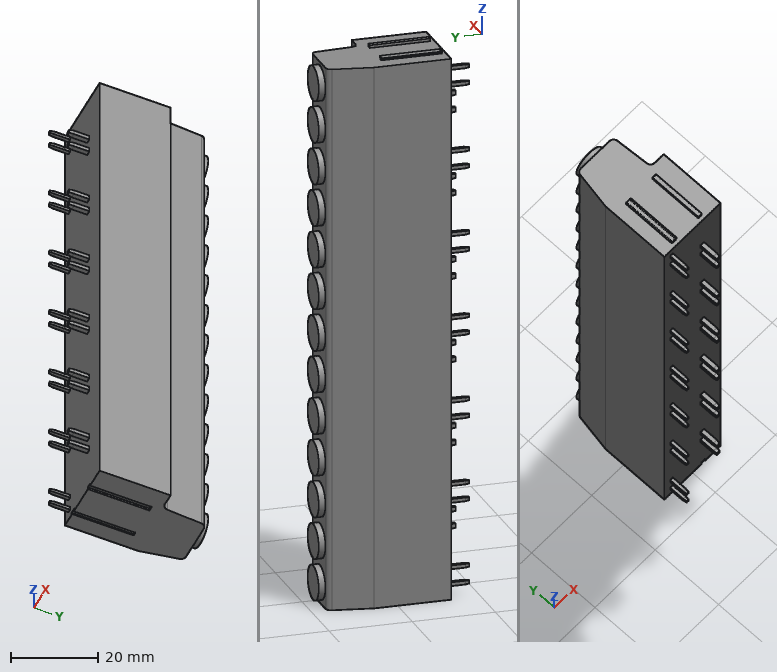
import cadquery as cq


total_length = 132.8
rib_height = 0.7
housing_length = total_length - rib_height
housing_width = 18.7
housing_depth = 29.2

left_slope_start = 18.6
left_slope_inset = 2.0
shelf_depth = 17.9
back_right_x = 13.8
step_right_x = 14.5
back_corner_radius = 1.3
step_corner_radius = 1.3

pole_count = 13
pole_pitch = housing_length / pole_count

cap_diameter = 8.4
cap_height = 1.6
cap_x = 7.5

pin_length = 5.0
pin_spacing = 4.1
pin_tip_length = 1.0
pin_tip_inset = 0.1
left_pin_x = 2.4
left_pin_size = 0.9
right_pin_x = 12.6
right_pin_size = 1.2

rib_front = 1.0
rib_back = 15.5
tee_rib_x = 4.4
tee_neck_width = 0.9
tee_head_width = 1.7
tee_neck_height = 0.4
straight_rib_x = 13.0
straight_rib_width = 1.2


def make_housing():
    profile = (
        cq.Workplane("XY")
        .moveTo(0, 0)
        .lineTo(housing_width, 0)
        .lineTo(housing_width, shelf_depth)
        .lineTo(step_right_x, shelf_depth)
        .lineTo(back_right_x, housing_depth)
        .lineTo(left_slope_inset, housing_depth)
        .lineTo(0, left_slope_start)
        .close()
    )
    housing = profile.extrude(housing_length)
    housing = housing.edges("|Z").edges(">Y").fillet(back_corner_radius)
    step_edge = cq.selectors.NearestToPointSelector((step_right_x, shelf_depth, housing_length / 2))
    return housing.edges("|Z").edges(step_edge).fillet(step_corner_radius)


def pole_z(pole):
    return (pole + 0.5) * pole_pitch


def make_cap(z):
    base = cq.Workplane("XZ", origin=(cap_x, housing_depth, z))
    return base.circle(cap_diameter / 2).extrude(-cap_height)


def make_pin(x, z, size):
    """Square pin standing on the front face, with a slightly tapered tip."""
    shank_length = pin_length - pin_tip_length
    tip_size = size - 2 * pin_tip_inset
    shank = cq.Workplane("XZ", origin=(x, 0, z)).rect(size, size).extrude(shank_length)
    tip = (
        cq.Workplane("XZ", origin=(x, -shank_length, z))
        .rect(size, size)
        .workplane(offset=pin_tip_length)
        .rect(tip_size, tip_size)
        .loft()
    )
    return shank.union(tip)


def make_bar(x, width, front, bottom, top):
    """Rectangular bar along Y from the given front to the back end of the ribs."""
    size = (width, rib_back - front, top - bottom)
    corner = (x - width / 2, front, bottom)
    return cq.Workplane("XY").box(*size, centered=False).translate(corner)


def make_ribs(front, z):
    """T-shaped rib and straight rib, both standing up from level z."""
    top = z + rib_height
    neck = make_bar(tee_rib_x, tee_neck_width, front, z, top)
    head = make_bar(tee_rib_x, tee_head_width, front, z + tee_neck_height, top)
    straight = make_bar(straight_rib_x, straight_rib_width, front, z, top)
    return neck.union(head).union(straight)


result = make_housing()

for pole in range(pole_count):
    result = result.union(make_cap(pole_z(pole)))
    if pole % 2 == 0:
        pin_x, pin_size = left_pin_x, left_pin_size
    else:
        pin_x, pin_size = right_pin_x, right_pin_size
    for side in (-1, 1):
        pin_z = pole_z(pole) + side * pin_spacing / 2
        result = result.union(make_pin(pin_x, pin_z, pin_size))

result = result.union(make_ribs(rib_front, housing_length))
result = result.cut(make_ribs(0, 0))